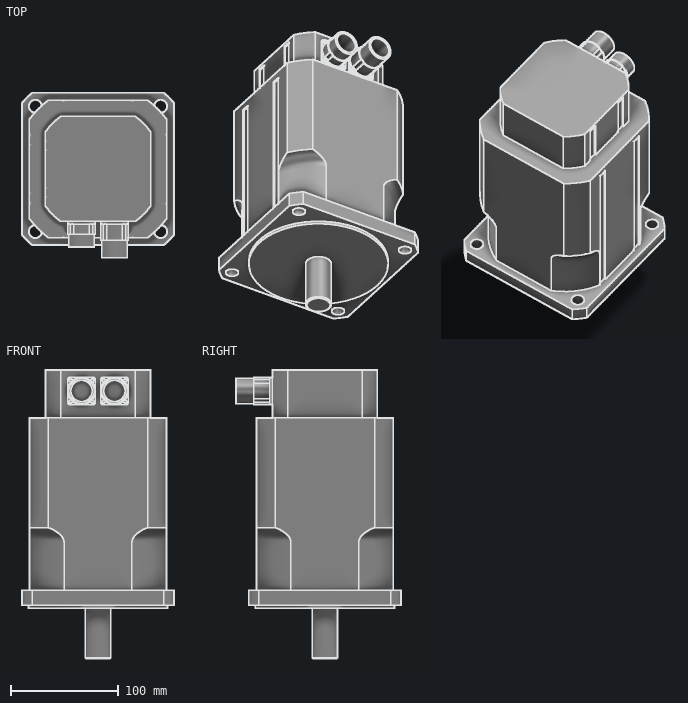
import cadquery as cq
import math


overall_height = 269
flange_size = 142.0
flange_corner_diameter = 187.8
flange_thickness = 14.0
bolt_hole_diameter = 11.8
bolt_hole_offset = 58.5
pilot_diameter = 130.0
pilot_height = 3.0
shaft_diameter = 24.0
shaft_length = 49.8
shaft_chamfer = 1.0

stator_size = 127.8
stator_corner_diameter = 158.0
stator_height = 160.5
relief_diameter = 142.5
relief_height = 44.7
relief_cove_radius = 16.1

cover_size = 98.0
cover_corner_diameter = 120.0

groove_width = 8.3
groove_depth = 1.3
stator_groove_offset = 26.5
stator_groove_top_gap = 7.8
cover_groove_offset = 21.8
cover_groove_top_gap = 3.5

overall_depth = 154.0
connector_offset = 15.3
connector_below_top = 19.6
connector_size = 25.5
connector_plate_thickness = 2.5
connector_plate_corner_radius = 2.5
screw_hole_diameter = 2.7
screw_hole_offset = 10.0
screw_flute_diameter = 5.5
barrel_diameter = 24.0
barrel_bore_diameter = 20.0
short_collar_reach = 12.0
short_barrel_reach = 24.0
long_collar_reach = 17.5
long_barrel_reach = overall_depth - flange_size / 2 - cover_size / 2

stator_bottom = flange_thickness
stator_top = stator_bottom + stator_height
cover_top = overall_height - shaft_length
cover_height = cover_top - stator_top


def square_with_round_corners(size, corner_diameter, bottom, height):
    """Square block whose corners lie on a cylinder about the motor axis."""
    block = cq.Workplane("XY").workplane(offset=bottom).rect(size, size).extrude(height)
    envelope = cq.Workplane("XY").workplane(offset=bottom).circle(corner_diameter / 2).extrude(height)
    return block.intersect(envelope)


def square_corners(offset):
    return [(x, y) for x in (-offset, offset) for y in (-offset, offset)]


def corner_relief():
    """Ring that turns the stator corners down and ends in a concave cove at the top."""
    inner = relief_diameter / 2
    outer = inner + relief_cove_radius
    cove_bottom = stator_bottom + relief_height
    cove_top = cove_bottom + relief_cove_radius
    cove_middle_step = relief_cove_radius * math.sqrt(0.5)
    return (
        cq.Workplane("XZ")
        .moveTo(inner, stator_bottom)
        .lineTo(inner, cove_bottom)
        .threePointArc((outer - cove_middle_step, cove_bottom + cove_middle_step), (outer, cove_top))
        .lineTo(outer, stator_bottom)
        .close()
        .revolve(360, (0, 0, 0), (0, 1, 0))
    )


def side_grooves(face_distance, offset, bottom, top):
    """Pair of vertical grooves in a -X face."""
    return (
        cq.Workplane("XY")
        .workplane(offset=bottom)
        .pushPoints([(-face_distance, -offset), (-face_distance, offset)])
        .rect(2 * groove_depth, groove_width)
        .extrude(top - bottom)
    )


def make_flange():
    flange = square_with_round_corners(flange_size, flange_corner_diameter, 0, flange_thickness)
    bolt_holes = (
        cq.Workplane("XY")
        .pushPoints(square_corners(bolt_hole_offset))
        .circle(bolt_hole_diameter / 2)
        .extrude(flange_thickness)
    )
    pilot = cq.Workplane("XY").circle(pilot_diameter / 2).extrude(-pilot_height)
    return flange.cut(bolt_holes).union(pilot)


def make_shaft():
    shaft = cq.Workplane("XY").circle(shaft_diameter / 2).extrude(-shaft_length)
    return shaft.faces("<Z").chamfer(shaft_chamfer)


def make_stator():
    stator = square_with_round_corners(stator_size, stator_corner_diameter, stator_bottom, stator_height)
    grooves = side_grooves(
        stator_size / 2, stator_groove_offset, stator_bottom, stator_top - stator_groove_top_gap
    )
    return stator.cut(corner_relief()).cut(grooves)


def make_cover():
    cover = square_with_round_corners(cover_size, cover_corner_diameter, stator_top, cover_height)
    grooves = side_grooves(cover_size / 2, cover_groove_offset, stator_top, cover_top - cover_groove_top_gap)
    return cover.cut(grooves)


def make_motor():
    return make_flange().union(make_shaft()).union(make_stator()).union(make_cover())


def make_connector(center_x, collar_reach, barrel_reach):
    """Flanged socket pointing to -Y: square plate, fluted collar and hollow barrel."""
    face = cq.Workplane("XZ", origin=(center_x, -cover_size / 2, cover_top - connector_below_top))
    plate_front = face.workplane(offset=connector_plate_thickness)
    screw_points = square_corners(screw_hole_offset)

    plate = (
        face.rect(connector_size, connector_size)
        .extrude(connector_plate_thickness)
        .edges("|Y")
        .fillet(connector_plate_corner_radius)
    )
    collar = face.circle(connector_size / 2).extrude(collar_reach)
    barrel = face.circle(barrel_diameter / 2).extrude(barrel_reach)

    screw_holes = face.pushPoints(screw_points).circle(screw_hole_diameter / 2).extrude(collar_reach)
    flutes = (
        plate_front.pushPoints(screw_points)
        .circle(screw_flute_diameter / 2)
        .extrude(collar_reach - connector_plate_thickness)
    )
    bore = plate_front.circle(barrel_bore_diameter / 2).extrude(barrel_reach - connector_plate_thickness)
    return plate.union(collar).union(barrel).cut(screw_holes).cut(flutes).cut(bore)


motor = make_motor()

connectors = []
for center_x, collar_reach, barrel_reach in (
    (-connector_offset, short_collar_reach, short_barrel_reach),
    (connector_offset, long_collar_reach, long_barrel_reach),
):
    connectors.append(make_connector(center_x, collar_reach, barrel_reach).val())

result = cq.Compound.makeCompound([motor.val(), *connectors])